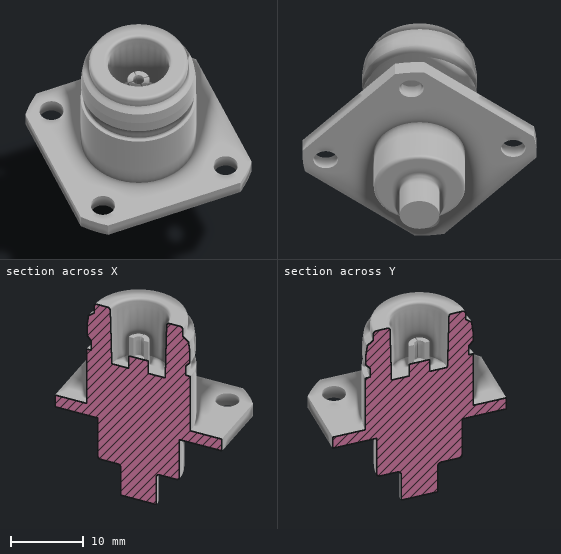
import cadquery as cq

total_height = 30.3
rear_bottom = 5.0
flange_bottom = 11.65
flange_top = 13.65
body_top = 22.55
groove_top = 24.0
collar_bottom = 24.72
collar_top = 26.45
taper_top = 28.05
lip_bottom = 28.75

stub_radius = 2.73
rear_radius = 6.27
body_radius = 7.95
groove_radius = 7.25
collar_radius = 7.88
taper_radius = 7.67
lip_radius = 6.8
edge_round = 0.48

flange_size = 25.4
flange_corner_diameter = 32.12
hole_spacing = 18.25
hole_diameter = 3.33

socket_floor_radius = 4.05
mouth_radius = 4.27
mouth_round = 0.48
socket_floor = 21.2
contact_top = 26.27
contact_radius = 1.5
contact_bore_radius = 0.8
contact_split_depth = 3.03
contact_split_width = 0.15


def cylinder(radius, bottom, top):
    return cq.Workplane("XY").workplane(offset=bottom).circle(radius).extrude(top - bottom)


def make_shell():
    """Revolved outside of the connector, from the cable stub to the front lip."""
    profile = [
        (0, 0),
        (stub_radius, 0),
        (stub_radius, rear_bottom),
        (rear_radius, rear_bottom),
        (rear_radius, flange_bottom),
        (body_radius, flange_bottom),
        (body_radius, body_top),
        (groove_radius, body_top),
        (groove_radius, groove_top),
        (collar_radius, collar_bottom),
        (collar_radius, collar_top),
        (taper_radius, taper_top),
        (lip_radius, lip_bottom),
        (lip_radius, total_height),
        (0, total_height),
    ]
    shell = cq.Workplane("XZ").polyline(profile).close().revolve(360, (0, 0), (0, 1))
    shell = shell.faces(">Z").edges().fillet(edge_round)
    rear_step = cq.selectors.BoxSelector(
        (-rear_radius, -rear_radius, rear_bottom - edge_round),
        (rear_radius, rear_radius, rear_bottom + edge_round),
    )
    return shell.faces(rear_step).edges().fillet(edge_round)


def make_flange():
    """Square mounting plate with corners turned to a circle and four screw holes."""
    thickness = flange_top - flange_bottom
    base = cq.Workplane("XY").workplane(offset=flange_bottom)
    plate = base.rect(flange_size, flange_size).extrude(thickness)
    plate = plate.intersect(cylinder(flange_corner_diameter / 2, flange_bottom, flange_top))
    return (
        plate.faces(">Z").workplane()
        .rect(hole_spacing, hole_spacing, forConstruction=True).vertices()
        .hole(hole_diameter)
    )


def make_socket():
    """Front cavity: a rounded mouth and a bore narrowing slightly to its floor."""
    round_bottom = total_height - mouth_round
    return (
        cq.Workplane("XZ")
        .moveTo(0, socket_floor)
        .lineTo(socket_floor_radius, socket_floor)
        .lineTo(mouth_radius, round_bottom)
        .radiusArc((mouth_radius + mouth_round, total_height), mouth_round)
        .lineTo(0, total_height)
        .close()
        .revolve(360, (0, 0), (0, 1))
    )


def make_contact():
    """Hollow centre contact split into four fingers."""
    split_bottom = contact_top - contact_split_depth
    contact = cylinder(contact_radius, socket_floor, contact_top)
    contact = contact.cut(cylinder(contact_bore_radius, split_bottom, contact_top))
    for angle in (0, 90):
        split = (
            cq.Workplane("XY").workplane(offset=split_bottom)
            .rect(2 * contact_radius, contact_split_width)
            .extrude(contact_split_depth)
            .rotate((0, 0, 0), (0, 0, 1), angle)
        )
        contact = contact.cut(split)
    return contact


result = make_shell().union(make_flange()).cut(make_socket()).union(make_contact())